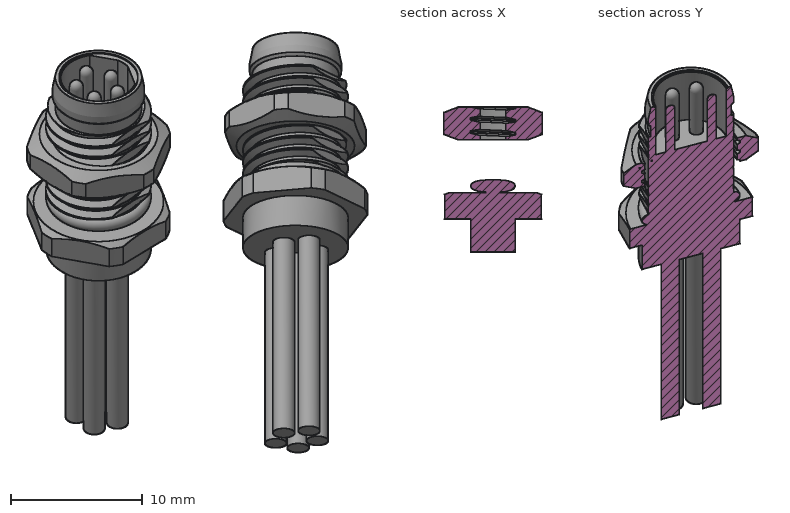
import cadquery as cq
import math

total_height = 32.5
collar_bottom = 16.0
flange_bottom = 18.5
flange_top = 20.5
seal_top = 21.5
nut_bottom = 24.5
nut_top = 27.0
neck_bottom = 29.5
rim_groove_top = 30.52
rim_band_bottom = 30.75
rim_band_top = 31.35

collar_radius = 4.0
neck_radius = 3.28
rim_bore_radius = 3.0
socket_radius = 2.85

hex_across_flats = 10.0
hex_corner_radius = 5.5
nut_bore_radius = 3.75
nut_face_radius = 4.5
flange_face_radius = 4.95
hex_chamfer_slope = math.tan(math.radians(30))

thread_radius = 4.0
thread_pitch = thread_radius / 4
flank_angle = math.radians(30)
thread_depth = thread_pitch * math.sqrt(3) / 2 * 5 / 8
thread_root_radius = thread_radius - thread_depth
crest_width = thread_pitch / 8
crest_height_at_plus_y = 29.28
ridge_overlap = 0.1
flat_width = 7.0
rim_band_radius = flat_width / 2

liner_recess = 0.1
socket_depth = 5.0
key_wall_distance = 2.5
key_ridge_radius = 2.63
pin_radius = 0.52
pin_tip_recess = 0.2
wire_diameter = 1.65
embed_depth = 0.32
top_contact_y = 1.33
side_contact = (1.7, 0.35)
bottom_contact = (0.98, -1.4)
contact_points = [(0, top_contact_y)]
for contact_x, contact_y in (side_contact, bottom_contact):
    contact_points += [(contact_x, contact_y), (-contact_x, contact_y)]


def cylinder(radius, bottom, top):
    return cq.Workplane("XY").workplane(offset=bottom).circle(radius).extrude(top - bottom)


def revolve_profile(points):
    """Turn an (r, z) outline around the Z axis."""
    axis_start, axis_end = (0, 0, 0), (0, 1, 0)
    return cq.Workplane("XZ").polyline(points).close().revolve(360, axis_start, axis_end)


def hexagon(bottom, top, face_radius, corner_angle, chamfer_bottom):
    """Hexagon whose corners are turned round and chamfered at 30 degrees."""
    chamfer_height = (hex_corner_radius - face_radius) * hex_chamfer_slope
    outline = [(0, top), (face_radius, top), (hex_corner_radius, top - chamfer_height)]
    if chamfer_bottom:
        outline += [(hex_corner_radius, bottom + chamfer_height), (face_radius, bottom)]
    else:
        outline += [(hex_corner_radius, bottom)]
    outline += [(0, bottom)]
    prism = (
        cq.Workplane("XY")
        .workplane(offset=bottom)
        .transformed(rotate=(0, 0, corner_angle))
        .polygon(6, hex_across_flats / math.cos(math.radians(30)))
        .extrude(top - bottom)
    )
    return prism.intersect(revolve_profile(outline))


def full_thread():
    """Round right-hand thread between the seal ring and the neck."""
    spare_turns = 1
    turns = math.ceil((neck_bottom - seal_top) / thread_pitch) + 2 * spare_turns
    crest_height_at_plus_x = crest_height_at_plus_y - thread_pitch / 4
    turns_to_start = math.ceil((crest_height_at_plus_x - seal_top) / thread_pitch) + spare_turns
    start = crest_height_at_plus_x - turns_to_start * thread_pitch

    inner_radius = thread_root_radius - ridge_overlap
    crest_half = crest_width / 2
    base_half = crest_half + (thread_radius - inner_radius) * math.tan(flank_angle)
    helix = cq.Wire.makeHelix(thread_pitch, turns * thread_pitch, thread_root_radius, cq.Vector(0, 0, start))
    ridge = (
        cq.Workplane("XZ")
        .polyline([
            (inner_radius, start - base_half),
            (thread_radius, start - crest_half),
            (thread_radius, start + crest_half),
            (inner_radius, start + base_half),
        ])
        .close()
        .sweep(cq.Workplane(helix), isFrenet=True)
    )
    core = cylinder(thread_root_radius, seal_top - thread_pitch, neck_bottom + thread_pitch)
    return core.union(ridge).intersect(cylinder(2 * thread_radius, seal_top, neck_bottom))


def polar(radius, angle):
    return radius * math.cos(angle), radius * math.sin(angle)


def socket_cavity():
    """Round socket whose +Y side is a roof of two key walls with a rounded ridge."""
    wall_normal = math.radians(60)
    right_x, right_y = polar(socket_radius, wall_normal - math.acos(key_wall_distance / socket_radius))
    ridge_x, ridge_y = polar(key_ridge_radius, wall_normal + math.acos(key_wall_distance / key_ridge_radius))
    return (
        cq.Workplane("XY")
        .workplane(offset=total_height - socket_depth)
        .moveTo(-right_x, right_y)
        .threePointArc((0, -socket_radius), (right_x, right_y))
        .lineTo(ridge_x, ridge_y)
        .threePointArc((0, key_ridge_radius), (-ridge_x, ridge_y))
        .close()
        .extrude(socket_depth)
    )


def seal_ring():
    """Ring with a half-round rim, seated on the flange."""
    rim_radius = (seal_top - flange_top) / 2
    straight_radius = collar_radius - rim_radius
    return (
        cq.Workplane("XZ")
        .moveTo(0, flange_top)
        .lineTo(straight_radius, flange_top)
        .threePointArc((collar_radius, flange_top + rim_radius), (straight_radius, seal_top))
        .lineTo(0, seal_top)
        .close()
        .revolve(360, (0, 0, 0), (0, 1, 0))
    )


thread = full_thread()
between_flats = cq.Workplane("XY").box(flat_width, 4 * thread_radius, 4 * total_height)
thread_past_flats = thread.cut(between_flats)
bore_past_flats = cylinder(nut_bore_radius, nut_bottom, nut_top).cut(between_flats)
nut_blank = hexagon(nut_bottom, nut_top, nut_face_radius, corner_angle=0, chamfer_bottom=True)
lock_nut = nut_blank.cut(bore_past_flats).cut(thread_past_flats)
shaft = thread.intersect(between_flats).union(lock_nut)

collar = cylinder(collar_radius, collar_bottom, flange_bottom)
flange = hexagon(flange_bottom, flange_top, flange_face_radius, corner_angle=90, chamfer_bottom=False)
seal = seal_ring()

rim = revolve_profile([
    (0, neck_bottom),
    (neck_radius, neck_bottom),
    (neck_radius, rim_groove_top),
    (rim_band_radius, rim_band_bottom),
    (rim_band_radius, rim_band_top),
    (neck_radius, total_height),
    (0, total_height),
])

result = collar.union(flange).union(seal).union(shaft).union(rim)
result = result.cut(cylinder(rim_bore_radius, total_height - liner_recess, total_height))
result = result.cut(socket_cavity())

pin_bottom = total_height - socket_depth - embed_depth
pin_tip_center = total_height - pin_tip_recess - pin_radius
for x, y in contact_points:
    pin_tip = cq.Workplane("XY").sphere(pin_radius).translate((0, 0, pin_tip_center))
    pin = cylinder(pin_radius, pin_bottom, pin_tip_center).union(pin_tip)
    wire = cylinder(wire_diameter / 2, 0, collar_bottom + embed_depth)
    result = result.union(pin.translate((x, y, 0))).union(wire.translate((x, y, 0)))